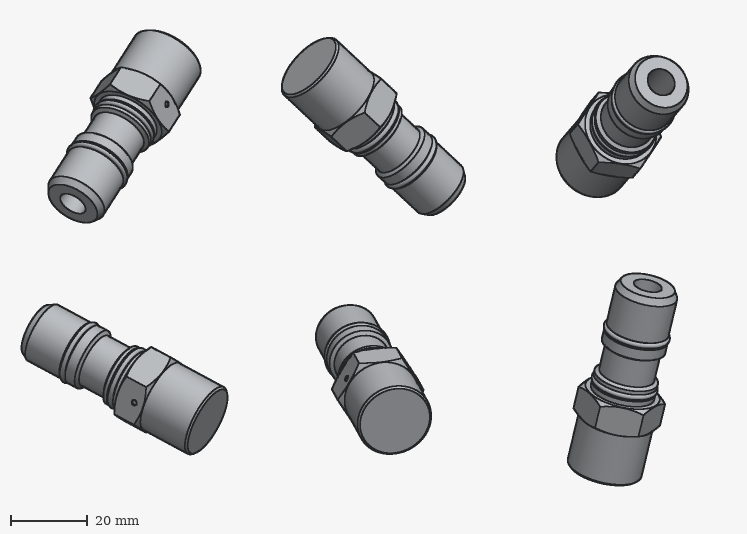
import cadquery as cq
import math

length = 53.5

nose_radius = 8.3
nose_tip_radius = 7.2
nose_chamfer_length = 1.9
collar_radius = 8.5
collar_chamfer_length = 0.65
neck_radius = 7.4
neck_start = 18.15
neck_end = 25.85

ring_outer_radius = 8.85
ring_cord_radius = 0.7
ring_center_radius = ring_outer_radius - ring_cord_radius
groove_radius = ring_center_radius - ring_cord_radius
groove_width = 2.0
ring_positions = [13.5, 28.45]
groove_positions = [13.55, 28.5]

hex_across_flats = 20.0
hex_across_corners = hex_across_flats / math.cos(math.radians(30))
hex_start = 31.0
hex_end = 39.05
hex_chamfer_angle = 30.0
hex_face_radius = 9.9

barrel_radius = 9.9
barrel_chamfer = 0.55

bore_radius = 3.75
bore_depth = neck_end

mark_radius = 0.75
mark_depth = 0.5
mark_position = 36.25
mark_flat_angle = 30.0


def revolve_about_y(profile):
    return profile.close().revolve(360, (0, 0, 0), (0, 1, 0))


def make_turned_stem():
    """Nose, two collars, neck and rear barrel as one turned shape."""
    profile = (
        cq.Workplane("XY")
        .moveTo(0, 0)
        .lineTo(nose_tip_radius, 0)
        .lineTo(nose_radius, nose_chamfer_length)
        .lineTo(nose_radius, groove_positions[0])
        .lineTo(collar_radius, groove_positions[0])
        .lineTo(collar_radius, neck_start - collar_chamfer_length)
        .lineTo(neck_radius, neck_start)
        .lineTo(neck_radius, neck_end)
        .lineTo(collar_radius, neck_end + collar_chamfer_length)
        .lineTo(collar_radius, hex_start)
        .lineTo(barrel_radius, hex_start)
        .lineTo(barrel_radius, length - barrel_chamfer)
        .lineTo(barrel_radius - barrel_chamfer, length)
        .lineTo(0, length)
    )
    return revolve_about_y(profile)


def make_hexagon():
    """Hexagon with its corners chamfered conically at both ends."""
    prism = (
        cq.Workplane("XZ", origin=(0, hex_start, 0))
        .polygon(6, hex_across_corners)
        .extrude(hex_start - hex_end)
    )
    corner_radius = hex_across_corners / 2
    chamfer_length = (corner_radius - hex_face_radius) * math.tan(math.radians(hex_chamfer_angle))
    envelope_profile = (
        cq.Workplane("XY")
        .moveTo(0, hex_start)
        .lineTo(hex_face_radius, hex_start)
        .lineTo(corner_radius, hex_start + chamfer_length)
        .lineTo(corner_radius, hex_end - chamfer_length)
        .lineTo(hex_face_radius, hex_end)
        .lineTo(0, hex_end)
    )
    return prism.intersect(revolve_about_y(envelope_profile))


def make_ring_groove(position):
    return (
        cq.Workplane("XZ", origin=(0, position - groove_width / 2, 0))
        .circle(ring_outer_radius)
        .circle(groove_radius)
        .extrude(-groove_width)
    )


def make_bore():
    return cq.Workplane("XZ").circle(bore_radius).extrude(-bore_depth)


def make_mark_hole():
    angle = math.radians(mark_flat_angle)
    outward = cq.Vector(math.cos(angle), 0, math.sin(angle))
    flat_center = outward * (hex_across_flats / 2) + cq.Vector(0, mark_position, 0)
    return cq.Workplane(cq.Solid.makeCylinder(mark_radius, mark_depth, flat_center, outward * -1))


def make_fitting():
    fitting = make_turned_stem().union(make_hexagon())
    for position in groove_positions:
        fitting = fitting.cut(make_ring_groove(position))
    return fitting.cut(make_bore()).cut(make_mark_hole())


def make_o_ring(position):
    cord_section = cq.Workplane("XY").center(ring_center_radius, position).circle(ring_cord_radius)
    return cord_section.revolve(360, (-ring_center_radius, 0, 0), (-ring_center_radius, 1, 0))


fitting = make_fitting()
o_rings = [make_o_ring(position) for position in ring_positions]

result = cq.Compound.makeCompound([fitting.val(), *[ring.val() for ring in o_rings]])